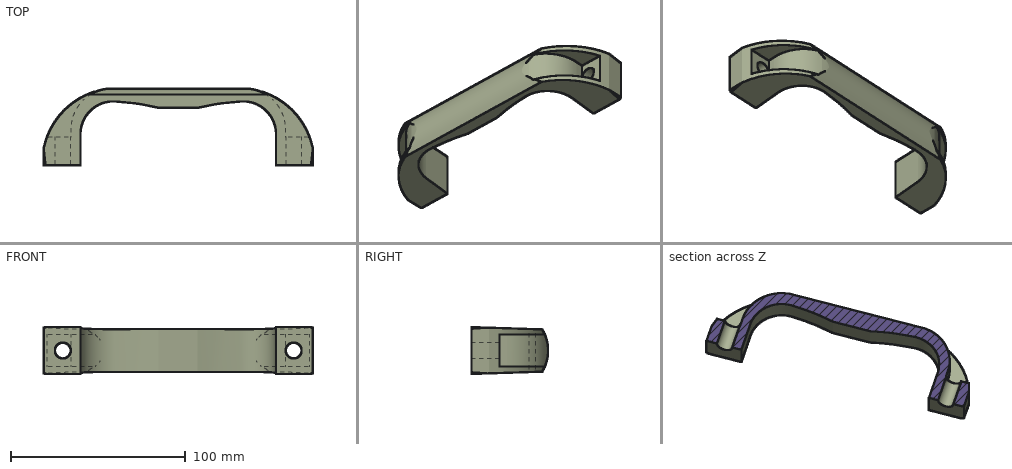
import cadquery as cq
import math

length = 154.0
height = 44.0
width = 27.0
half_length = length / 2
half_width = width / 2

foot_flat_height = 10.3
shoulder_point = (63.3, 33.5)
crown_half_length = 40.3

opening_half_length = 55.9
opening_straight_height = 18.5
opening_arc_middle = (49.9, 31.7)
opening_arc_end = (35.0, 36.5)
grip_curve_middle = (23.9, 35.4)
grip_flat_half_length = 11.1
grip_flat_height = 33.0

dome_start_height = 40.7
dome_half_width = 12.2

corner_chamfer = 1.1

hole_diameter = 9.0
hole_position = 66.0
recess_width = 18.2
recess_floor_height = 16.2
recess_wall_position = 61.5
recess_straight_end = 20.5
recess_radius = 23.9


def mirror_x(point):
    return (-point[0], point[1])


def handle_outline():
    """Extrude the bow-shaped outline over the full width."""
    opening_corner = (opening_half_length, opening_straight_height)
    grip_flat_end = (grip_flat_half_length, grip_flat_height)
    return (
        cq.Workplane("XY")
        .moveTo(half_length, 0)
        .lineTo(half_length, foot_flat_height)
        .threePointArc(shoulder_point, (crown_half_length, height))
        .lineTo(-crown_half_length, height)
        .threePointArc(mirror_x(shoulder_point), (-half_length, foot_flat_height))
        .lineTo(-half_length, 0)
        .lineTo(-opening_half_length, 0)
        .lineTo(*mirror_x(opening_corner))
        .threePointArc(mirror_x(opening_arc_middle), mirror_x(opening_arc_end))
        .threePointArc(mirror_x(grip_curve_middle), mirror_x(grip_flat_end))
        .lineTo(*grip_flat_end)
        .threePointArc(grip_curve_middle, opening_arc_end)
        .threePointArc(opening_arc_middle, opening_corner)
        .lineTo(opening_half_length, 0)
        .close()
        .extrude(half_width, both=True)
    )


def cross_section():
    """Drafted and domed bar along X that trims the outline."""
    return (
        cq.Workplane("YZ")
        .moveTo(0, -half_width)
        .lineTo(dome_start_height, -dome_half_width)
        .threePointArc((height, 0), (dome_start_height, dome_half_width))
        .lineTo(0, half_width)
        .close()
        .extrude(half_length, both=True)
    )


def corner_cutter(side, face):
    """Wedge over one foot edge, tapering to nothing at the top of the foot flat."""
    x_edge = side * half_length
    z_edge = face * half_width
    draft = (half_width - dome_half_width) / dome_start_height
    z_tip = face * (half_width - draft * foot_flat_height)
    base = (x_edge, 0, z_edge)
    x_corner = (x_edge - side * corner_chamfer, 0, z_edge)
    z_corner = (x_edge, 0, z_edge - face * corner_chamfer)
    tip = (x_edge, foot_flat_height, z_tip)
    beyond = (x_edge, foot_flat_height, z_edge)
    faces = [
        (base, x_corner, z_corner),
        (x_corner, z_corner, tip),
        (base, z_corner, tip, beyond),
        (base, x_corner, beyond),
        (x_corner, tip, beyond),
    ]
    shell = cq.Shell.makeShell([cq.Face.makeFromWires(cq.Wire.makePolygon(f, close=True)) for f in faces])
    return cq.Workplane(obj=cq.Solid.makeSolid(shell))


def screw_hole(side):
    """Hole from the foot up to the recess floor."""
    return (
        cq.Workplane("XZ")
        .center(side * hole_position, 0)
        .circle(hole_diameter / 2)
        .extrude(-recess_floor_height)
    )


def recess(side):
    """Pocket open to the outer shoulder; its inner wall curves out below the crown."""
    diagonal = recess_radius * math.sqrt(0.5)
    arc_center = recess_wall_position - recess_radius
    arc_middle = (side * (arc_center + diagonal), recess_straight_end + diagonal)
    arc_end = (side * arc_center, recess_straight_end + recess_radius)
    return (
        cq.Workplane("XY")
        .moveTo(side * half_length, recess_floor_height)
        .lineTo(side * recess_wall_position, recess_floor_height)
        .lineTo(side * recess_wall_position, recess_straight_end)
        .threePointArc(arc_middle, arc_end)
        .lineTo(side * half_length, arc_end[1])
        .close()
        .extrude(recess_width / 2, both=True)
    )


result = handle_outline().intersect(cross_section())
for side in (-1, 1):
    result = result.cut(screw_hole(side)).cut(recess(side))
    for face in (-1, 1):
        result = result.cut(corner_cutter(side, face))